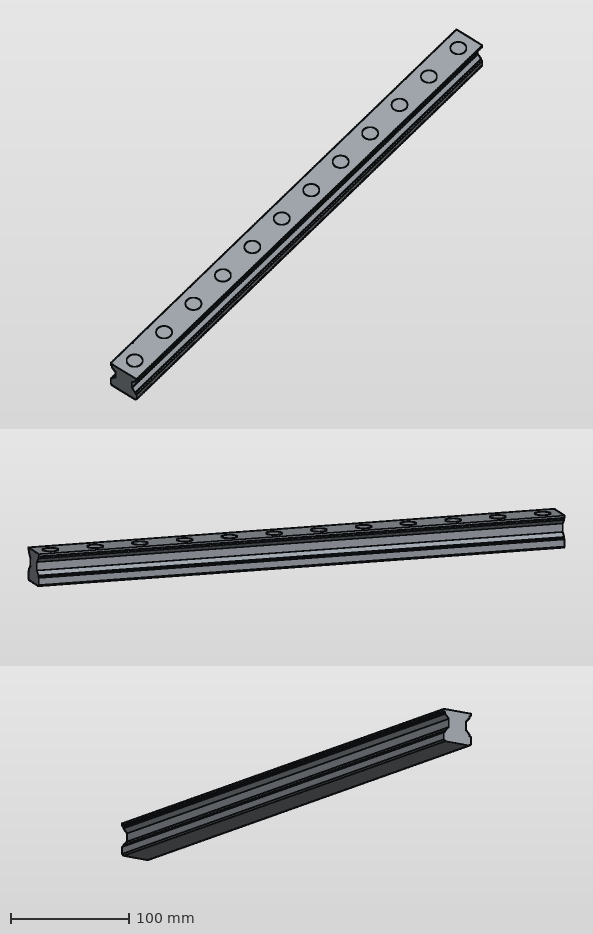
import cadquery as cq

length = 470.0
width = 28.0
height = 28.0

neck_width = 18.0
neck_top = 20.0
neck_ledge = 0.25

relief_width = 25.5
lower_relief_height = 1.0
upper_relief_height = 1.5

base_top = 7.5
lower_relief_bottom = 8.5
lip_height = 2.0
bottom_chamfer = 1.5

recess_count = 12
end_margin = 15.0
recess_pitch = (length - 2 * end_margin) / (recess_count - 1)
recess_diameter = 13.5
recess_depth = 0.25


def rail_body():
    """Waisted rail section, drawn as its right half and mirrored."""
    half_width = width / 2
    half_neck = neck_width / 2
    half_relief = relief_width / 2
    raceway_run = half_relief - half_neck

    lower_relief_top = lower_relief_bottom + lower_relief_height
    lower_raceway_run = raceway_run - neck_ledge
    neck_bottom = lower_relief_top + lower_raceway_run
    upper_relief_bottom = neck_top + raceway_run
    upper_relief_top = upper_relief_bottom + upper_relief_height

    right_half = [
        (0, 0),
        (half_width - bottom_chamfer, 0),
        (half_width, bottom_chamfer),
        (half_width, base_top),
        (half_relief, lower_relief_bottom),
        (half_relief, lower_relief_top),
        (half_neck + neck_ledge, neck_bottom),
        (half_neck, neck_bottom),
        (half_neck, neck_top),
        (half_relief, upper_relief_bottom),
        (half_relief, upper_relief_top),
        (half_width, height - lip_height),
        (half_width, height),
        (0, height),
    ]
    section = cq.Workplane("XZ").polyline(right_half).mirrorY()
    return section.extrude(length / 2, both=True)


def top_recesses():
    """Cutters for the recesses, evenly spaced along the rail centre line."""
    return (
        cq.Workplane("XY", origin=(0, 0, height))
        .rarray(4.5, recess_pitch, 1, recess_count)
        .circle(recess_diameter / 2)
        .extrude(-recess_depth)
    )


result = rail_body().cut(top_recesses())